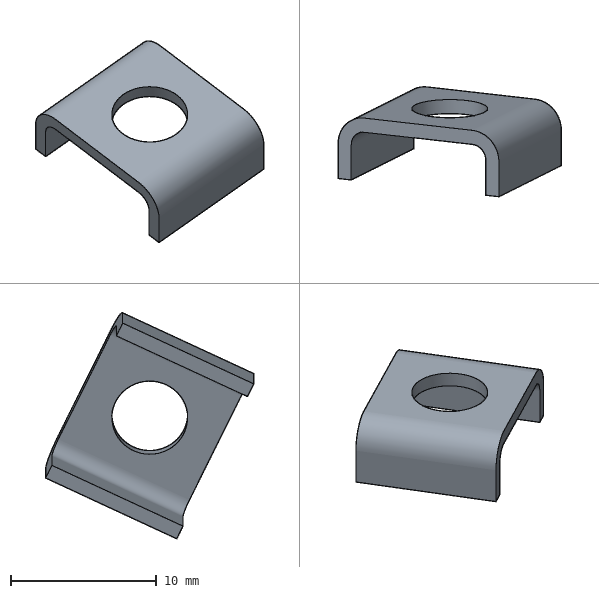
import cadquery as cq

width = 12.24
depth = 10.0
height = 4.49

thickness = 1.0
inner_bend_radius = 1.0
outer_bend_radius = inner_bend_radius + thickness

hole_diameter = 5.2


def rounded_block(block_width, block_height, bend_radius):
    """Block standing on Z = 0 with its two upper long edges rounded."""
    block = cq.Workplane("XY").box(block_width, depth, block_height, centered=(True, True, False))
    return block.edges("|Y and >Z").fillet(bend_radius)


outer_block = rounded_block(width, height, outer_bend_radius)
inner_block = rounded_block(width - 2 * thickness, height - thickness, inner_bend_radius)
channel = outer_block.cut(inner_block)

result = channel.faces(">Z").workplane(origin=(0, 0, height)).hole(hole_diameter)